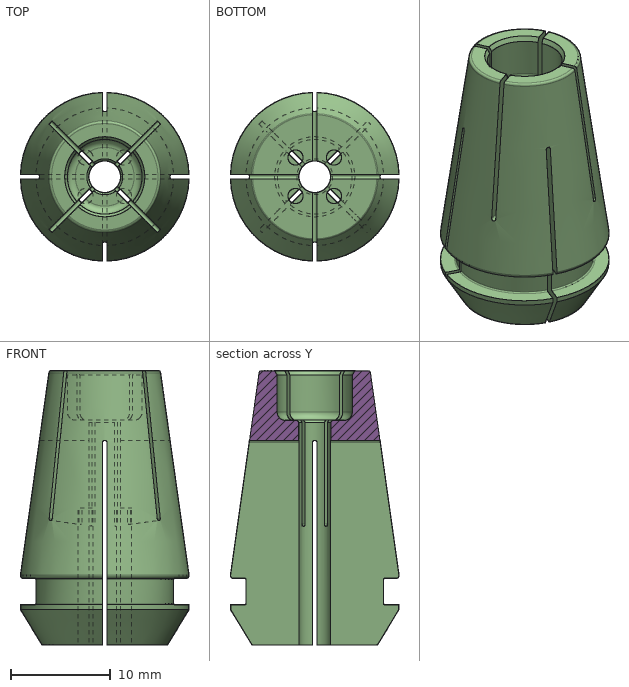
import cadquery as cq
import math

height = 27.5
taper_angle = 8.0
taper_slope = math.tan(math.radians(taper_angle))
taper_base_z = 6.68
taper_base_radius = 8.5
taper_top_radius = taper_base_radius - taper_slope * (height - taper_base_z)
taper_base_fillet = 0.28
taper_top_fillet = 0.28

neck_radius = 6.9
neck_fillet = 0.15
flange_radius = 8.45
flange_top_z = 4.05
flange_bottom_z = 3.55
nose_radius = 6.3
nose_fillet = 0.15

bore_radius = 3.15 / 2
bore_chamfer = 0.22
pocket_radius = 3.75
pocket_floor_z = 22.52
pocket_floor_fillet = 0.8
pocket_chamfer_width = 0.28
pocket_chamfer_height = 0.47

slot_count = 4
slot_pitch = 360 / slot_count
slot_width = 0.45
lower_slot_end_z = 20.5
upper_slot_end_z = 11.75
upper_slot_tilt = 5.5
slot_reach = 2 * taper_base_radius

relief_diameter = 1.5
relief_circle_radius = 2.72
relief_depth = 13.75


def revolved(points):
    """Solid of revolution about Z from (radius, height) points."""
    return cq.Workplane("XZ").polyline(points).close().revolve(360, (0, 0, 0), (0, 1, 0))


def make_outside():
    """Turned outside: nose cone, flange, neck groove and long taper."""
    body = revolved([
        (0, 0),
        (nose_radius, 0),
        (flange_radius, flange_bottom_z),
        (flange_radius, flange_top_z),
        (neck_radius, flange_top_z),
        (neck_radius, taper_base_z),
        (taper_base_radius, taper_base_z),
        (taper_top_radius, height),
        (0, height),
    ])
    body = body.edges(cq.selectors.RadiusNthSelector(2)).fillet(neck_fillet)
    body = body.faces("<Z").edges().fillet(nose_fillet)
    body = body.faces(">Z").edges().fillet(taper_top_fillet)
    body = body.edges(cq.selectors.RadiusNthSelector(-1)).fillet(taper_base_fillet)
    return body


def make_bore():
    """Through bore with a chamfered mouth opening into a round-bottomed pocket."""
    pocket = cq.Workplane("XY").workplane(offset=pocket_floor_z)
    pocket = pocket.circle(pocket_radius).extrude(height - pocket_floor_z)
    pocket = pocket.faces("<Z").edges().fillet(pocket_floor_fillet)
    mouth = revolved([
        (0, height),
        (pocket_radius + pocket_chamfer_width, height),
        (pocket_radius, height - pocket_chamfer_height),
        (0, height - pocket_chamfer_height),
    ])
    bore = revolved([
        (0, 0),
        (bore_radius, 0),
        (bore_radius, pocket_floor_z - bore_chamfer),
        (bore_radius + bore_chamfer, pocket_floor_z),
        (0, pocket_floor_z),
    ])
    return pocket.union(mouth).union(bore)


def make_half_slot(end_z, depth):
    """Saw slot from the Z axis out along +X, rounded at end_z and open after a signed depth."""
    half = slot_width / 2
    toward_opening = math.copysign(1, depth)
    straight_end_z = end_z + toward_opening * half
    open_z = end_z + depth
    profile = (
        cq.Workplane("YZ")
        .moveTo(-half, open_z)
        .lineTo(-half, straight_end_z)
        .threePointArc((0, end_z), (half, straight_end_z))
        .lineTo(half, open_z)
        .close()
    )
    return profile.extrude(slot_reach)


def make_lower_slot():
    """Slot cut from the nose face with a level end."""
    return make_half_slot(lower_slot_end_z, -height)


def make_upper_slot():
    """Slot cut from the top face; its floor rises away from the Z axis."""
    slot = make_half_slot(upper_slot_end_z, height)
    return slot.rotate((0, 0, upper_slot_end_z), (0, 1, upper_slot_end_z), -upper_slot_tilt)


def make_relief_holes():
    """Four holes from the nose face, on the diagonals between the X and Y axes."""
    return (
        cq.Workplane("XY")
        .polarArray(relief_circle_radius, slot_pitch / 2, 360, slot_count)
        .circle(relief_diameter / 2)
        .extrude(relief_depth)
    )


result = make_outside().cut(make_bore()).cut(make_relief_holes())

lower_slot = make_lower_slot()
upper_slot = make_upper_slot()
for index in range(slot_count):
    angle = index * slot_pitch
    result = result.cut(lower_slot.rotate((0, 0, 0), (0, 0, 1), angle))
    result = result.cut(upper_slot.rotate((0, 0, 0), (0, 0, 1), angle + slot_pitch / 2))